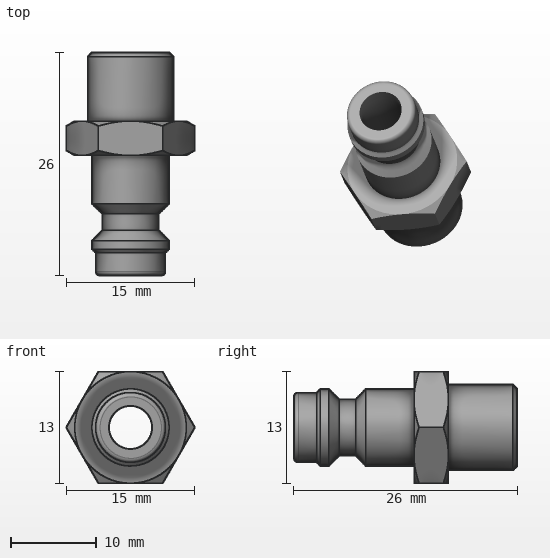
import cadquery as cq
import math

length = 26.0
tip_end = 2.65
collar_start = 3.1
collar_end = 4.05
groove_start = 5.28
groove_end = 7.2
body_start = 8.37
hex_start = 14.0
hex_end = 18.0

tip_diameter = 8.15
body_diameter = 9.0
groove_diameter = 6.6
shank_diameter = 10.0
bore_diameter = 5.0
tip_round = 0.5
shank_chamfer = 0.5

across_flats = 13.0
across_corners = across_flats / math.cos(math.radians(30))
hex_cone_angle = 30.0


def revolve_about_y(points):
    """Turn a closed (radius, Y) outline around the Y axis."""
    return cq.Workplane("XY").polyline(points).close().revolve(360, (0, 0, 0), (0, 1, 0))


def make_plug():
    """Plug end: tip, locking collar, groove and body, with a rounded tip edge."""
    tip_radius = tip_diameter / 2
    body_radius = body_diameter / 2
    groove_radius = groove_diameter / 2
    plug = revolve_about_y([
        (0, 0),
        (tip_radius, 0),
        (tip_radius, tip_end),
        (body_radius, collar_start),
        (body_radius, collar_end),
        (groove_radius, groove_start),
        (groove_radius, groove_end),
        (body_radius, body_start),
        (body_radius, hex_start),
        (0, hex_start),
    ])
    return plug.faces("<Y").edges().fillet(tip_round)


def make_hexagon():
    """Wrench hexagon with corners on X and chamfered corners on both faces."""
    prism = (
        cq.Workplane("XZ", origin=(0, hex_end, 0))
        .polygon(6, across_corners)
        .extrude(hex_end - hex_start)
    )
    flat_radius = across_flats / 2
    corner_radius = across_corners / 2
    cone_depth = (corner_radius - flat_radius) * math.tan(math.radians(hex_cone_angle))
    envelope = revolve_about_y([
        (0, hex_start),
        (flat_radius, hex_start),
        (corner_radius, hex_start + cone_depth),
        (corner_radius, hex_end - cone_depth),
        (flat_radius, hex_end),
        (0, hex_end),
    ])
    return prism.intersect(envelope)


def make_shank():
    """Plain cylindrical shank with a chamfered free end."""
    shank = (
        cq.Workplane("XZ", origin=(0, length, 0))
        .circle(shank_diameter / 2)
        .extrude(length - hex_end)
    )
    return shank.faces(">Y").edges().chamfer(shank_chamfer)


bore = cq.Workplane("XZ", origin=(0, length, 0)).circle(bore_diameter / 2).extrude(length)

result = make_plug().union(make_hexagon()).union(make_shank()).cut(bore)